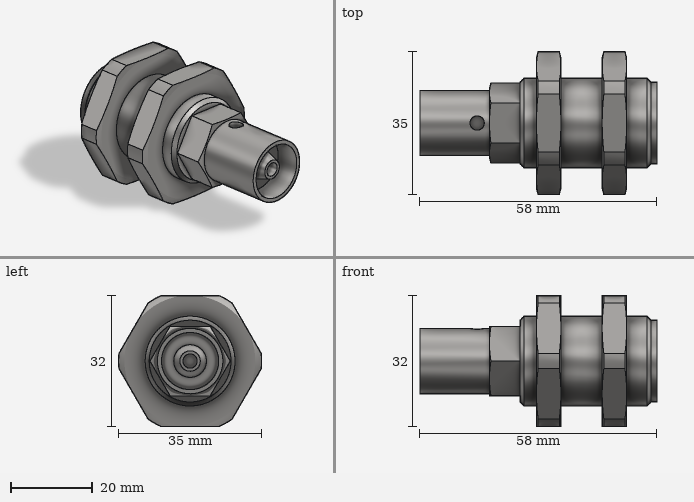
import cadquery as cq
import math

length = 58.0

sleeve_dia = 16.0
sleeve_bore_dia = 14.0
sleeve_bore_depth = 6.5
nozzle_base_dia = 8.0
nozzle_tip_dia = 5.0
nozzle_tip_x = 1.5
nozzle_bore_dia = 3.5

vent_dia = 3.5
vent_x = 14.0
vent_depth = 3.0

hex_x = 17.0
hex_flats = 17.0

body_x = 24.5
body_dia = 22.0
body_chamfer = 1.0
neck_dia = body_dia - 2 * body_chamfer
neck_length = 1.5

nut_flats = 32.0
nut_corner_dia = 35.05
nut_width = 6.0
nut_starts = (28.5, 44.55)

hex_chamfer_angle = 15.0


def cylinder(x, dia, height):
    """Solid cylinder along +X starting at x."""
    return cq.Workplane("YZ", origin=(x, 0, 0)).circle(dia / 2).extrude(height)


def across_corners(flats):
    """Corner-to-corner size of a regular hexagon."""
    return 2 * flats / math.sqrt(3)


def hexagon(x, flats, height):
    """Hexagonal prism along +X with its flats facing up and down."""
    corner_dia = across_corners(flats)
    return cq.Workplane("YZ", origin=(x, 0, 0)).polygon(6, corner_dia).extrude(height)


def corner_envelope(x, flats, outer_dia, height, both_ends):
    """Turned blank whose conical ends start at the flats' inscribed circle."""
    inner_radius = flats / 2
    outer_radius = outer_dia / 2
    chamfer = (outer_radius - inner_radius) * math.tan(math.radians(hex_chamfer_angle))
    end = x + height
    profile = (
        cq.Workplane("XY")
        .moveTo(x, 0)
        .lineTo(x, inner_radius)
        .lineTo(x + chamfer, outer_radius)
    )
    if both_ends:
        profile = profile.lineTo(end - chamfer, outer_radius).lineTo(end, inner_radius)
    else:
        profile = profile.lineTo(end, outer_radius)
    return profile.lineTo(end, 0).close().revolve(360, (0, 0, 0), (1, 0, 0))


def make_sleeve():
    sleeve = cylinder(0, sleeve_dia, hex_x)
    sleeve = sleeve.cut(cylinder(0, sleeve_bore_dia, sleeve_bore_depth))
    nozzle = (
        cq.Workplane("YZ", origin=(sleeve_bore_depth, 0, 0))
        .circle(nozzle_base_dia / 2)
        .workplane(offset=nozzle_tip_x - sleeve_bore_depth)
        .circle(nozzle_tip_dia / 2)
        .loft()
    )
    nozzle_bore = cylinder(nozzle_tip_x, nozzle_bore_dia, sleeve_bore_depth - nozzle_tip_x)
    vent = (
        cq.Workplane("XY", origin=(vent_x, 0, sleeve_dia / 2))
        .circle(vent_dia / 2)
        .extrude(-vent_depth)
    )
    return sleeve.union(nozzle).cut(nozzle_bore).cut(vent)


def make_hex_section():
    width = body_x - hex_x
    corner_dia = across_corners(hex_flats)
    envelope = corner_envelope(hex_x, hex_flats, corner_dia, width, both_ends=False)
    return hexagon(hex_x, hex_flats, width).intersect(envelope)


def make_body():
    body_length = length - neck_length - body_x
    body = cylinder(body_x, body_dia, body_length).edges().chamfer(body_chamfer)
    return body.union(cylinder(length - neck_length, neck_dia, neck_length))


def make_nut(x):
    envelope = corner_envelope(x, nut_flats, nut_corner_dia, nut_width, both_ends=True)
    return hexagon(x, nut_flats, nut_width).intersect(envelope)


result = make_sleeve().union(make_hex_section()).union(make_body())
for nut_x in nut_starts:
    result = result.union(make_nut(nut_x))